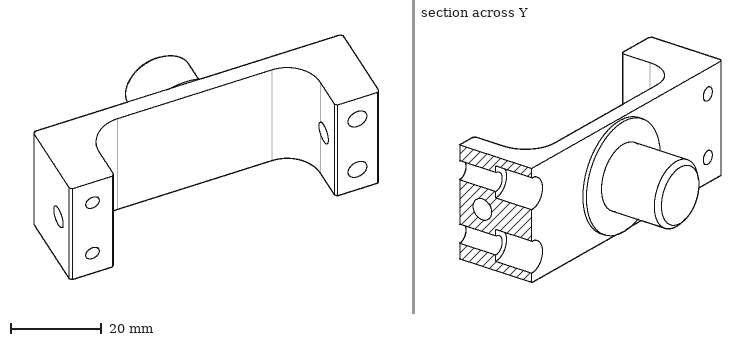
import cadquery as cq

length = 75.0
height = 28.0
depth = 20.0
plate_thickness = 3.9
arm_width = 10.7
inner_radius = 8.0
edge_chamfer = 0.5

flange_diameter = 27.0
flange_thickness = 1.0
total_width = 36.75
pin_diameter = 16.0
pin_length = total_width - depth - flange_thickness
pin_chamfer = 1.1

cross_hole_diameter = 5.0
cross_hole_x = 13.7

hole_end_distance = 5.4
hole_spacing = 15.5
screw_hole_diameter = 4.6
counterbore_diameter = 7.7
counterbore_depth = 10.0
small_hole_diameter = 3.3

cut_margin = 0.75
hole_y = length / 2 - hole_end_distance


def make_bracket():
    """U-shaped bracket: a plate with an arm at each end."""
    block = cq.Workplane("XY").box(depth, length, height, centered=(False, True, True))
    opening = (
        cq.Workplane("XY")
        .box(depth, length - 2 * arm_width, height + 2 * cut_margin, centered=(False, True, True))
        .translate((plate_thickness, 0, 0))
        .edges("|Z and <X")
        .fillet(inner_radius)
    )
    bracket = block.cut(opening)
    arm_tip_edges = bracket.edges("|Z and >X")
    outer_corner_edges = bracket.edges("|Z and <X")
    return bracket.newObject(arm_tip_edges.vals() + outer_corner_edges.vals()).chamfer(edge_chamfer)


def make_pin():
    """Chamfered pin on a thin round flange, pointing toward -X."""
    flange = cq.Workplane("YZ").circle(flange_diameter / 2).extrude(-flange_thickness)
    pin = (
        cq.Workplane("YZ")
        .workplane(offset=-flange_thickness)
        .circle(pin_diameter / 2)
        .extrude(-pin_length)
        .faces("<X")
        .chamfer(pin_chamfer)
    )
    return flange.union(pin)


def x_holes(y, diameter, hole_depth):
    """Pair of cylinders entering the plate's outer face, one above the other."""
    return (
        cq.Workplane("YZ")
        .pushPoints([(y, -hole_spacing / 2), (y, hole_spacing / 2)])
        .circle(diameter / 2)
        .extrude(hole_depth)
    )


def make_cross_hole():
    """Cylinder along Y passing through both arms."""
    return (
        cq.Workplane("XZ")
        .center(cross_hole_x, 0)
        .circle(cross_hole_diameter / 2)
        .extrude(length / 2 + cut_margin, both=True)
    )


result = (
    make_bracket()
    .union(make_pin())
    .cut(x_holes(hole_y, screw_hole_diameter, depth))
    .cut(x_holes(hole_y, counterbore_diameter, counterbore_depth))
    .cut(x_holes(-hole_y, small_hole_diameter, depth))
    .cut(make_cross_hole())
)